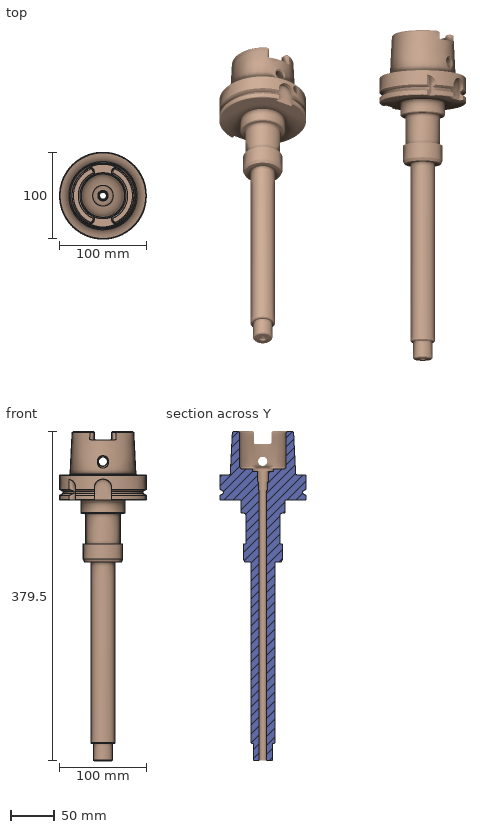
import cadquery as cq
import math

quarter_arc_bow = math.sin(math.radians(45))


shank_height = 50.0
shank_base_radius = 38.0
taper_slope = 1 / 20
shank_rim_chamfer = 1.5
shank_foot_width = 1.3
shank_foot_height = 1.0

flange_radius = 50.0
flange_height = 29.0
flange_chamfer = 0.6
groove_root_radius = 46.0
groove_center_z = -20.2
groove_width = 7.0
groove_flank_angle = 30.0

collar_radius = 51.0 / 2
collar_bottom_z = -44.5
collar_edge_chamfer = 1.0
neck_radius = 20.0
neck_fillet = 2.0
ring_radius = 45.5 / 2
ring_top_z = -79.5
ring_bottom_z = -100.5
ring_edge_chamfer = 1.6
ring_chamfer_height = 3.5
bar_radius = 28.0 / 2
bar_bottom_z = -309.5
bar_edge_chamfer = 1.0
tip_radius = 22.0 / 2
tip_edge_chamfer = 1.0
bottom_z = -329.5

bore_radius = 53.0 / 2
bore_floor_chamfer = 1.5
bore_floor_z = 7.0
bore_mouth_radius = 28.4
bore_mouth_depth = 1.5
recess_radius = 23.8 / 2
recess_depth = 3.0
counterbore_radius = 12.0 / 2
counterbore_depth = 12.0
pilot_radius = 10.0 / 2
pilot_depth = 10.0
through_hole_radius = 8.0 / 2

drive_slot_width = 20.0
front_slot_depth = 9.8
back_slot_depth = 14.8
slot_floor_fillet = 1.8
slot_mouth_radius = 5.5
slot_rim_chamfer = 1.4
slot_rim_angle = 45.0

cross_hole_radius = 10.5 / 2
cross_hole_z = 15.3
countersink_depth = 1.9

keyway_width = 20.0
keyway_top_z = -5.0
keyway_floor_offset = 44.0
corner_notch_offset = 31.5
corner_notch_radius = 9.5
data_hole_radius = 10.0 / 2
data_hole_depth = 4.6
data_hole_z = -7.0
data_hole_angle = 107.0


def shank_radius(z):
    return shank_base_radius - taper_slope * z


def turned_body():
    top_radius = shank_radius(shank_height)
    flank_height = (flange_radius - groove_root_radius) * math.tan(math.radians(groove_flank_angle))
    groove_top_z = groove_center_z + groove_width / 2
    groove_bottom_z = groove_center_z - groove_width / 2
    neck_mid = neck_fillet * (1 - quarter_arc_bow)
    return (
        cq.Workplane("XZ")
        .moveTo(0, bottom_z)
        .lineTo(tip_radius - tip_edge_chamfer, bottom_z)
        .lineTo(tip_radius, bottom_z + tip_edge_chamfer)
        .lineTo(tip_radius, bar_bottom_z)
        .lineTo(bar_radius - bar_edge_chamfer, bar_bottom_z)
        .lineTo(bar_radius, bar_bottom_z + bar_edge_chamfer)
        .lineTo(bar_radius, ring_bottom_z)
        .lineTo(ring_radius - ring_edge_chamfer, ring_bottom_z)
        .lineTo(ring_radius, ring_bottom_z + ring_chamfer_height)
        .lineTo(ring_radius, ring_top_z)
        .lineTo(neck_radius, ring_top_z)
        .lineTo(neck_radius, collar_bottom_z - neck_fillet)
        .threePointArc(
            (neck_radius + neck_mid, collar_bottom_z - neck_mid),
            (neck_radius + neck_fillet, collar_bottom_z),
        )
        .lineTo(collar_radius - collar_edge_chamfer, collar_bottom_z)
        .lineTo(collar_radius, collar_bottom_z + collar_edge_chamfer)
        .lineTo(collar_radius, -flange_height)
        .lineTo(flange_radius - flange_chamfer, -flange_height)
        .lineTo(flange_radius, -flange_height + flange_chamfer)
        .lineTo(flange_radius, groove_bottom_z)
        .lineTo(groove_root_radius, groove_bottom_z + flank_height)
        .lineTo(groove_root_radius, groove_top_z - flank_height)
        .lineTo(flange_radius, groove_top_z)
        .lineTo(flange_radius, -flange_chamfer)
        .lineTo(flange_radius - flange_chamfer, 0)
        .lineTo(shank_base_radius + shank_foot_width, 0)
        .lineTo(shank_radius(shank_foot_height), shank_foot_height)
        .lineTo(shank_radius(shank_height - shank_rim_chamfer), shank_height - shank_rim_chamfer)
        .lineTo(top_radius - shank_rim_chamfer, shank_height)
        .lineTo(0, shank_height)
        .close()
        .revolve(360, (0, 0, 0), (0, 1, 0))
    )


def axial_bore():
    recess_z = bore_floor_z - recess_depth
    counterbore_z = recess_z - counterbore_depth
    pilot_z = counterbore_z - pilot_depth
    return (
        cq.Workplane("XZ")
        .moveTo(0, shank_height)
        .lineTo(bore_mouth_radius, shank_height)
        .lineTo(bore_radius, shank_height - bore_mouth_depth)
        .lineTo(bore_radius, bore_floor_z + bore_floor_chamfer)
        .lineTo(bore_radius - bore_floor_chamfer, bore_floor_z)
        .lineTo(recess_radius, bore_floor_z)
        .lineTo(recess_radius, recess_z)
        .lineTo(counterbore_radius, recess_z)
        .lineTo(counterbore_radius, counterbore_z)
        .lineTo(pilot_radius, counterbore_z)
        .lineTo(pilot_radius, pilot_z)
        .lineTo(through_hole_radius, pilot_z)
        .lineTo(through_hole_radius, bottom_z)
        .lineTo(0, bottom_z)
        .close()
        .revolve(360, (0, 0, 0), (0, 1, 0))
    )


def drive_slot(side, depth):
    """Slot through the rim on the +Y (side = 1) or -Y (side = -1) half, flared at its outer mouth."""
    half = drive_slot_width / 2
    mouth_half = half + slot_mouth_radius
    floor_z = shank_height - depth
    mouth_y = math.sqrt(shank_radius(floor_z) ** 2 - mouth_half**2)
    flare_y = mouth_y - slot_mouth_radius
    flare_bow = slot_mouth_radius * quarter_arc_bow
    bow_x = mouth_half - flare_bow
    bow_y = flare_y + flare_bow
    outer_y = flange_radius

    def outline(z):
        return (
            cq.Workplane("XY", origin=(0, 0, z))
            .moveTo(-half, 0)
            .lineTo(half, 0)
            .lineTo(half, side * flare_y)
            .threePointArc((bow_x, side * bow_y), (mouth_half, side * mouth_y))
            .lineTo(mouth_half, side * outer_y)
            .lineTo(-mouth_half, side * outer_y)
            .lineTo(-mouth_half, side * mouth_y)
            .threePointArc((-bow_x, side * bow_y), (-half, side * flare_y))
            .close()
        )

    channel = outline(floor_z).extrude(depth).faces("<Z").edges().fillet(slot_floor_fillet)
    rim_bevel = outline(shank_height - slot_rim_chamfer).extrude(
        slot_rim_chamfer, taper=-slot_rim_angle
    )
    return channel.union(rim_bevel)


def cross_hole(side):
    """Radial hole through the shank wall on the +Y or -Y side, countersunk at 45 degrees."""
    sink_y = shank_radius(cross_hole_z) - countersink_depth
    outer_y = shank_base_radius
    return (
        cq.Workplane("XY")
        .lineTo(cross_hole_radius, 0)
        .lineTo(cross_hole_radius, sink_y)
        .lineTo(cross_hole_radius + outer_y - sink_y, outer_y)
        .lineTo(0, outer_y)
        .close()
        .revolve(360, (0, 0, 0), (0, 1, 0))
        .translate((0, 0, cross_hole_z))
        .rotate((0, 0, 0), (0, 0, 1), 0 if side > 0 else 180)
    )


def keyway(side):
    """Round-topped keyway with a flat floor in the +Y or -Y side of the flange."""
    half = keyway_width / 2
    arch_z = keyway_top_z - half
    outline = (
        cq.Workplane("XZ")
        .moveTo(-half, -flange_height)
        .lineTo(half, -flange_height)
        .lineTo(half, arch_z)
        .threePointArc((0, keyway_top_z), (-half, arch_z))
        .close()
    )
    depth = flange_radius - keyway_floor_offset
    return outline.extrude(depth).translate((0, side * (keyway_floor_offset + depth / 2) + depth / 2, 0))


def corner_notch():
    """Square-cornered notch at the (-X, -Y) edge of the flange, rounded at its top inner corner."""
    size = flange_radius - corner_notch_offset
    height = flange_height + keyway_top_z
    center = -corner_notch_offset - size / 2
    return (
        cq.Workplane("XY")
        .box(size, size, height, centered=(True, True, False))
        .edges("|Y and >Z and >X")
        .fillet(corner_notch_radius)
        .translate((center, center, -flange_height))
    )


def data_hole():
    return (
        cq.Workplane("YZ", origin=(flange_radius - data_hole_depth, 0, data_hole_z))
        .circle(data_hole_radius)
        .extrude(2 * data_hole_depth)
        .rotate((0, 0, 0), (0, 0, 1), data_hole_angle)
    )


result = turned_body().cut(axial_bore())
result = result.cut(drive_slot(-1, front_slot_depth))
result = result.cut(drive_slot(1, back_slot_depth))
for side in (-1, 1):
    result = result.cut(cross_hole(side))
    result = result.cut(keyway(side))
result = result.cut(corner_notch())
result = result.cut(data_hole())